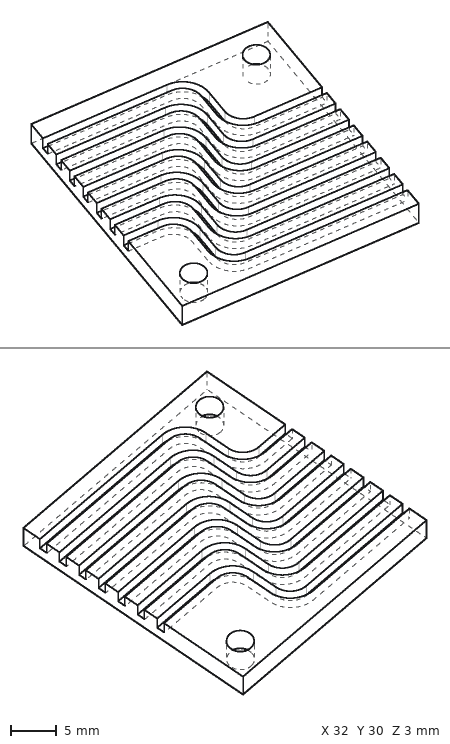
import cadquery as cq

length = 32.0
width = 30.0
thickness = 3.0

hole_diameter = 3.0
hole_inset = 3.6

channel_count = 7
channel_width = 1.0
channel_depth = 1.55
channel_pitch = 2.85
channel_shift = 9.0
bend_radius = 2.85
first_channel_x = 3.0
first_crossing_y = 18.55
crossing_step = channel_pitch * 2 / 3


def channel_outline(offset, x_front, y_crossing):
    """Points of one channel wall, offset to the right of the centre line going front to back.

    Returns the front point, the two ends of each bend with its radius, and the back point.
    """
    x_start = x_front + offset
    x_end = x_front + channel_shift + offset
    y_run = y_crossing - offset
    first_radius = bend_radius - offset
    second_radius = bend_radius + offset
    return {
        "front": (x_start, 0),
        "first_bend": ((x_start, y_run - first_radius), (x_start + first_radius, y_run), first_radius),
        "second_bend": ((x_end - second_radius, y_run), (x_end, y_run + second_radius), second_radius),
        "back": (x_end, width),
    }


def make_channel(x_front, y_crossing):
    """Cutter for one channel, open at the front and back edges of the plate."""
    left = channel_outline(-channel_width / 2, x_front, y_crossing)
    right = channel_outline(channel_width / 2, x_front, y_crossing)
    left_first_start, left_first_end, left_first_radius = left["first_bend"]
    left_second_start, left_second_end, left_second_radius = left["second_bend"]
    right_first_start, right_first_end, right_first_radius = right["first_bend"]
    right_second_start, right_second_end, right_second_radius = right["second_bend"]
    return (
        cq.Workplane("XY", origin=(0, 0, thickness - channel_depth))
        .moveTo(*left["front"])
        .lineTo(*left_first_start)
        .radiusArc(left_first_end, left_first_radius)
        .lineTo(*left_second_start)
        .radiusArc(left_second_end, -left_second_radius)
        .lineTo(*left["back"])
        .lineTo(*right["back"])
        .lineTo(*right_second_end)
        .radiusArc(right_second_start, right_second_radius)
        .lineTo(*right_first_end)
        .radiusArc(right_first_start, -right_first_radius)
        .lineTo(*right["front"])
        .close()
        .extrude(channel_depth)
    )


plate = cq.Workplane("XY").box(length, width, thickness, centered=False)

hole_centres = [
    (hole_inset, width - hole_inset),
    (length - hole_inset, hole_inset),
]
holes = cq.Workplane("XY").pushPoints(hole_centres).circle(hole_diameter / 2).extrude(thickness)

result = plate.cut(holes)
for index in range(channel_count):
    channel_x = first_channel_x + index * channel_pitch
    crossing_y = first_crossing_y - index * crossing_step
    result = result.cut(make_channel(channel_x, crossing_y))